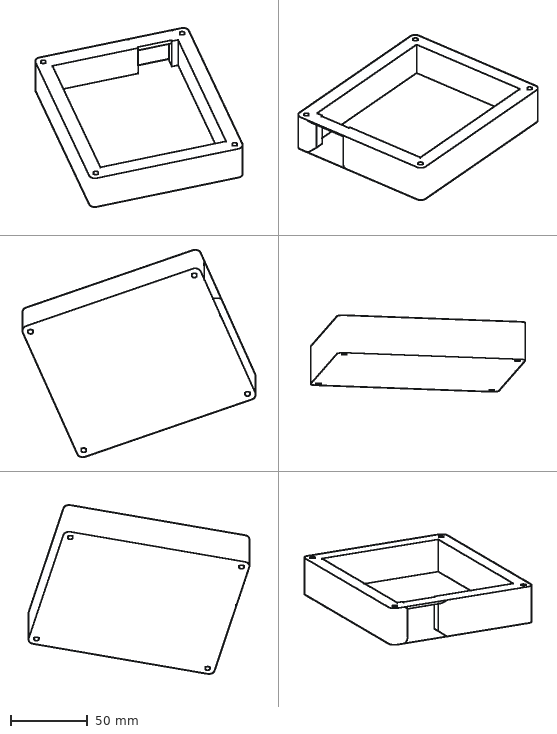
import cadquery as cq
import math

length = 124.3
width = 104.4
height = 25.0
corner_radius = 4.0

wall = 9.5
floor_thickness = 3.0
left_wall_extra = 1.0

hole_diameter = 3.4
hole_inset = 5.0

window_y_min = 15.5
window_width = 23.0
window_height = height - 2 * floor_thickness
mouth_radius = 5.0

left_face = -length / 2
notch_face = left_face + wall
cavity_left = notch_face + left_wall_extra
cavity_right = length / 2 - wall
cavity_width = width - 2 * wall
cavity_depth = height - floor_thickness


def corner_box(x, y, z, size_x, size_y, size_z):
    """Box given by its minimum corner and its sizes."""
    return cq.Workplane("XY").box(size_x, size_y, size_z, centered=False).translate((x, y, z))


def outer_block():
    block = cq.Workplane("XY").box(length, width, height, centered=(True, True, False))
    return block.edges("|Z").fillet(corner_radius)


def cavity():
    """Main pocket, plus the shallow notch in its left wall behind the window."""
    pocket = corner_box(
        cavity_left, -cavity_width / 2, floor_thickness,
        cavity_right - cavity_left, cavity_width, cavity_depth,
    )
    notch = corner_box(
        notch_face, window_y_min, floor_thickness,
        left_wall_extra, window_width, cavity_depth,
    )
    return pocket.union(notch)


def mouth_section(plane, face, half_opening, centre):
    """Prism along one window axis whose two sides flare out to the given face as quarter arcs."""
    back = face + mouth_radius
    half_mouth = half_opening + mouth_radius
    arc_middle = mouth_radius * (1 - math.sqrt(0.5))
    arc_x = face + arc_middle
    arc_half = half_opening + arc_middle
    return (
        cq.Workplane(plane)
        .moveTo(back, centre - half_opening)
        .threePointArc((arc_x, centre - arc_half), (face, centre - half_mouth))
        .lineTo(face, centre + half_mouth)
        .threePointArc((arc_x, centre + arc_half), (back, centre + half_opening))
        .close()
        .extrude(length, both=True)
    )


def window():
    """Straight window and its mitred mouth, whose upper and lower arcs end on the block's edges."""
    opening = corner_box(
        left_face, window_y_min, floor_thickness,
        wall, window_width, window_height,
    )
    window_y_centre = window_y_min + window_width / 2
    across = mouth_section("XY", left_face, window_width / 2, window_y_centre)

    edge_rise = mouth_radius - floor_thickness
    arc_shift = mouth_radius - math.sqrt(mouth_radius**2 - edge_rise**2)
    upright = mouth_section("XZ", left_face - arc_shift, window_height / 2, height / 2)
    return opening.union(across.intersect(upright))


def screw_holes():
    spacing_x = length - 2 * hole_inset
    spacing_y = width - 2 * hole_inset
    return (
        cq.Workplane("XY")
        .rect(spacing_x, spacing_y, forConstruction=True)
        .vertices()
        .circle(hole_diameter / 2)
        .extrude(height)
    )


result = outer_block().cut(cavity()).cut(window()).cut(screw_holes())